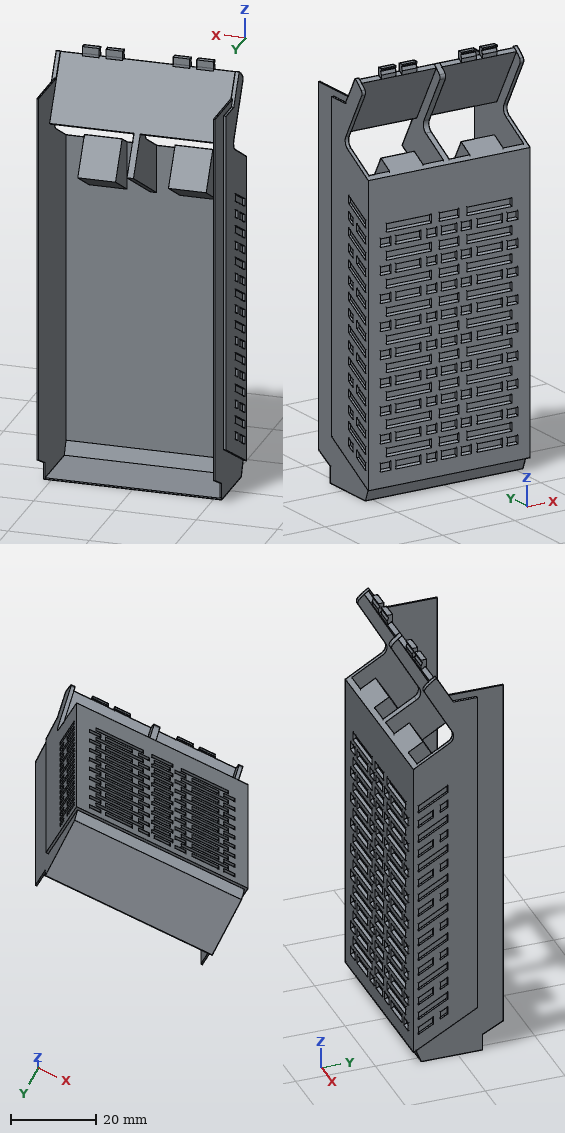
import cadquery as cq
import math


WIDTH = 45.0
DEPTH = 22.8
HEIGHT = 105.5
LEAN = math.radians(30)
LEAN_SIN = math.sin(LEAN)
LEAN_COS = math.cos(LEAN)
SLOPE = math.tan(LEAN)
STEEP = 1 / SLOPE

LINER = 0.4
COVER_SIDE = 0.6
COVER_FRONT = 0.7
RIB_WIDTH = 1.6
LINER_HALF = WIDTH / 2 - COVER_SIDE
INNER_HALF = LINER_HALF - LINER
FRONT_WALL = 1.3

NOTCH_Z = 80.2
NOTCH_CORNER_Y = 10.9
NOTCH_RADIUS = 2.1
TIP_RADIUS = 1.1
ARM_TIP_Y = 5.8
ARM_TIP_Z = 103.8
ARM_THICKNESS = 4.2
ARM_END_RADIUS = 11.6
NOTCH_CORNER_Z = NOTCH_Z + SLOPE * NOTCH_CORNER_Y

LINER_TOP = 98.1
BASE_FRONT_Y = 2.2
BASE_REAR_Y = 17.6
BASE_REAR_Z = 4.2
LINER_REAR_Z = 6.9
COVER_TOP = 96.4
COVER_REAR_Y = 16.0
COVER_FRONT_Z = 3.3
COVER_REAR_Z = 12.1

PLATE_THICKNESS = 1.3
PLATE_RECESS = 0.4
PLATE_LENGTH = 17.3
RIB_REAR_Y = 19.4
BAY_CENTRE = (INNER_HALF + RIB_WIDTH / 2) / 2
CATCH_WIDTH = 9.3
CATCH_TOP_Y = 5.1

TAB_WIDTH = 4.1
TAB_SPACING = 5.8
TAB_FRONT_Y = 4.3
TAB_REAR_Y = 5.7
TAB_ROOT = 0.5
TAB_NOSE_Z = 105.2
TAB_GROOVE_DEPTH = 0.37
TAB_GROOVE_Z = 104.8
TAB_LEDGE_Z = 103.9

SLOT_SLOPE = 0.55
FRONT_SLOT_HEIGHT = 2.1
SIDE_SLOT_HEIGHT = 1.9
FRONT_ROWS = 18
FRONT_PITCH = 3.5
FRONT_FIRST_TOP = 68.6
LONG_ROW_RIGHT = [(5.0, 17.4)]
LONG_ROW_MIDDLE_HALF = 2.7
SHORT_ROW_RIGHT = [(3.4, 6.2), (7.8, 14.9), (16.1, 19.1)]
SHORT_ROW_MIDDLE_HALF = 2.1
SIDE_ROWS = 16
SIDE_PITCH = 4.0
SIDE_FIRST_TOP = 74.1
SIDE_FRONT_Y = 1.3
SIDE_REAR_Y = 8.7
SIDE_LONG_ROW = [(SIDE_FRONT_Y, SIDE_REAR_Y)]
SIDE_SHORT_ROW = [(SIDE_FRONT_Y, 5.1), (6.8, SIDE_REAR_Y)]


def lean_point(inward, down):
    """Point in the arm's own frame: measured from the tip, inward from and down along its rear face."""
    y = ARM_TIP_Y - inward * LEAN_COS + down * LEAN_SIN
    z = ARM_TIP_Z - inward * LEAN_SIN - down * LEAN_COS
    return y, z


def arm_end_point(inward):
    """Point on the crowned end of the arm."""
    return lean_point(inward, ARM_END_RADIUS - math.sqrt(ARM_END_RADIUS ** 2 - inward ** 2))


def arm_rear_y(z):
    """Y of the arm's leaning rear face at height z."""
    return ARM_TIP_Y + (ARM_TIP_Z - z) / STEEP


def prism(points, x_min, x_max):
    """Extrude a (Y, Z) outline along X."""
    return cq.Workplane("YZ").workplane(offset=x_min).polyline(points).close().extrude(x_max - x_min)


def head_prism(front_y, rear_points, x_min, x_max):
    """Extrude an outline whose front edge is the notched head; rear_points close it from the tip."""
    front = arm_end_point(ARM_THICKNESS)
    outline = (
        cq.Workplane("YZ")
        .workplane(offset=x_min)
        .moveTo(front_y, NOTCH_Z + SLOPE * front_y)
        .lineTo(NOTCH_CORNER_Y, NOTCH_CORNER_Z)
        .lineTo(*front)
        .threePointArc(arm_end_point(ARM_THICKNESS / 2), (ARM_TIP_Y, ARM_TIP_Z))
    )
    for point in rear_points:
        outline = outline.lineTo(*point)
    head = outline.close().extrude(x_max - x_min)
    for (y, z), radius in [((NOTCH_CORNER_Y, NOTCH_CORNER_Z), NOTCH_RADIUS), (front, TIP_RADIUS)]:
        head = head.edges(cq.selectors.NearestToPointSelector(((x_min + x_max) / 2, y, z))).fillet(radius)
    return head


def tray():
    """Liner and cover as one shell, open at the top and back."""
    cover_slope = (COVER_REAR_Z - COVER_FRONT_Z) / COVER_REAR_Y
    liner_front_z = COVER_FRONT_Z + cover_slope * COVER_FRONT
    liner = [
        (arm_rear_y(LINER_TOP), LINER_TOP),
        (DEPTH, LINER_TOP),
        (DEPTH, LINER_REAR_Z),
        (BASE_REAR_Y, BASE_REAR_Z),
        (BASE_REAR_Y, 0),
        (BASE_FRONT_Y, 0),
        (COVER_FRONT, liner_front_z),
    ]
    cover = [
        (arm_rear_y(COVER_TOP), COVER_TOP),
        (COVER_REAR_Y, COVER_TOP),
        (COVER_REAR_Y, COVER_REAR_Z),
        (0, COVER_FRONT_Z),
    ]
    cavity = [
        (FRONT_WALL, HEIGHT),
        (FRONT_WALL, liner_front_z),
        (BASE_FRONT_Y + LINER, LINER),
        (DEPTH, LINER),
        (DEPTH, HEIGHT),
    ]
    shell = head_prism(COVER_FRONT, liner, -LINER_HALF, LINER_HALF)
    shell = shell.union(head_prism(0, cover, -WIDTH / 2, WIDTH / 2))
    return shell.cut(prism(cavity, -INNER_HALF, INNER_HALF))


def plate_rear_z(y):
    """Z of the rear face shared by the plate and the rib."""
    start_y, start_z = arm_end_point(PLATE_RECESS)
    return start_z - STEEP * (y - start_y)


def underside_z(y):
    """Z of the sloping underside shared by the rib and the catches."""
    return plate_rear_z(RIB_REAR_Y) - SLOPE * (RIB_REAR_Y - y)


def rib():
    """Central rib between the two bays, crowned with the arms and then trimmed flush with the plate."""
    rear_points = [
        (arm_rear_y(NOTCH_Z), NOTCH_Z),
        (arm_rear_y(NOTCH_Z), 0),
        (COVER_FRONT, 0),
    ]
    envelope = [
        (COVER_FRONT, underside_z(COVER_FRONT)),
        (RIB_REAR_Y, plate_rear_z(RIB_REAR_Y)),
        arm_end_point(PLATE_RECESS),
        (COVER_FRONT, HEIGHT),
    ]
    full = head_prism(COVER_FRONT, rear_points, -RIB_WIDTH / 2, RIB_WIDTH / 2)
    return full.intersect(prism(envelope, -RIB_WIDTH / 2, RIB_WIDTH / 2))


def plate():
    """Slanted plate along the rear face of the arms."""
    points = [
        lean_point(PLATE_RECESS, PLATE_LENGTH),
        lean_point(PLATE_RECESS + PLATE_THICKNESS, PLATE_LENGTH),
        arm_end_point(PLATE_RECESS + PLATE_THICKNESS),
        arm_end_point(PLATE_RECESS),
    ]
    return prism(points, -INNER_HALF, INNER_HALF)


def catch(centre_x):
    """Block behind the front wall, its top in line with the notch."""
    top_z = NOTCH_Z + SLOPE * CATCH_TOP_Y
    rear_y = (top_z + STEEP * CATCH_TOP_Y - underside_z(0)) / (STEEP + SLOPE)
    points = [
        (COVER_FRONT, NOTCH_Z + SLOPE * COVER_FRONT),
        (CATCH_TOP_Y, top_z),
        (rear_y, underside_z(rear_y)),
        (COVER_FRONT, underside_z(COVER_FRONT)),
    ]
    return prism(points, centre_x - CATCH_WIDTH / 2, centre_x + CATCH_WIDTH / 2)


def tab(centre_x):
    """Upright tab on the plate with a V groove across its front."""
    points = [
        (TAB_REAR_Y, HEIGHT),
        (TAB_FRONT_Y, HEIGHT),
        (TAB_FRONT_Y, TAB_NOSE_Z),
        (TAB_FRONT_Y + TAB_GROOVE_DEPTH, TAB_GROOVE_Z),
        (TAB_FRONT_Y, TAB_LEDGE_Z),
        arm_end_point(PLATE_RECESS + PLATE_THICKNESS),
        lean_point(PLATE_RECESS, TAB_ROOT),
        (TAB_REAR_Y, ARM_TIP_Z),
    ]
    return prism(points, centre_x - TAB_WIDTH / 2, centre_x + TAB_WIDTH / 2)


def slot(y_front, y_rear, top_rear_z, height, x_min, x_max):
    """Slot volume that rises towards the rear."""
    top_front_z = top_rear_z - SLOT_SLOPE * (y_rear - y_front)
    points = [
        (y_rear, top_rear_z),
        (y_front, top_front_z),
        (y_front, top_front_z - height),
        (y_rear, top_rear_z - height),
    ]
    return prism(points, x_min, x_max)


def mirrored_row(middle_half, right_slots):
    """X ranges of a row: the middle slot, the right slots and their mirror images."""
    left_slots = [(-x_max, -x_min) for x_min, x_max in right_slots]
    return left_slots + [(-middle_half, middle_half)] + right_slots


def front_slots():
    """Alternating long and short rows through the cover front."""
    long_row = mirrored_row(LONG_ROW_MIDDLE_HALF, LONG_ROW_RIGHT)
    short_row = mirrored_row(SHORT_ROW_MIDDLE_HALF, SHORT_ROW_RIGHT)
    rise = SLOT_SLOPE * COVER_FRONT
    slots = []
    for row in range(FRONT_ROWS):
        top_z = FRONT_FIRST_TOP - row * FRONT_PITCH
        for x_min, x_max in (short_row if row % 2 else long_row):
            slots.append(slot(0, COVER_FRONT, top_z + rise, FRONT_SLOT_HEIGHT, x_min, x_max).val())
    return slots


def side_slots():
    """Alternating long and split rows through both cover sides."""
    slots = []
    for row in range(SIDE_ROWS):
        first_z = SIDE_FIRST_TOP - row * SIDE_PITCH
        for y_front, y_rear in (SIDE_SHORT_ROW if row % 2 else SIDE_LONG_ROW):
            top_z = first_z - SLOT_SLOPE * (SIDE_REAR_Y - y_rear)
            for x_min, x_max in [(-WIDTH / 2, -LINER_HALF), (LINER_HALF, WIDTH / 2)]:
                slots.append(slot(y_front, y_rear, top_z, SIDE_SLOT_HEIGHT, x_min, x_max).val())
    return slots


body = tray().union(rib()).union(plate())
for bay_x in (-BAY_CENTRE, BAY_CENTRE):
    body = body.union(catch(bay_x))
    for tab_x in (bay_x - TAB_SPACING / 2, bay_x + TAB_SPACING / 2):
        body = body.union(tab(tab_x))

result = body.cut(cq.Compound.makeCompound(front_slots() + side_slots()))